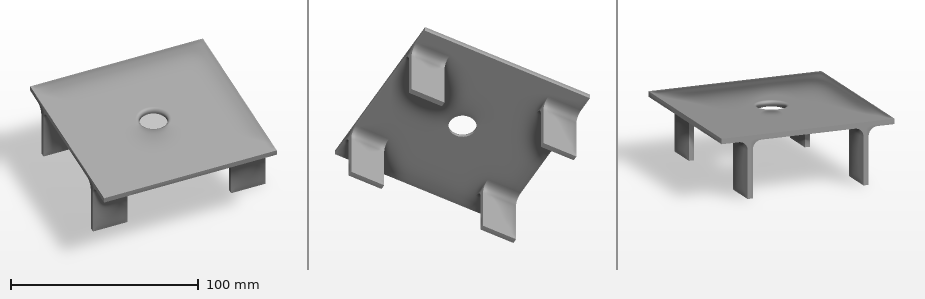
import cadquery as cq

side = 100.0
plate_thickness = 3.0
total_height = 35.0

leg_thickness = 3.0
leg_width = 20.0
leg_inset = 15.0
leg_fillet = 5.0

hole_diameter = 15.0
rim_radius = 2.0

plate_bottom = total_height - plate_thickness
leg_center_x = side / 2 - leg_inset - leg_thickness / 2


def make_plate():
    plate = cq.Workplane("XY").workplane(offset=plate_bottom).rect(side, side).extrude(plate_thickness)
    plate = plate.faces(">Z").workplane().hole(hole_diameter)
    return plate.faces(">Z").edges("%CIRCLE").fillet(rim_radius)


def make_leg(center_x, center_y):
    """Straight leg that flares into the plate with a concave arc on each side."""
    half = leg_thickness / 2
    flare_start = plate_bottom - leg_fillet
    flare_half = half + leg_fillet
    return (
        cq.Workplane("XZ", origin=(center_x, center_y + leg_width / 2, 0))
        .moveTo(-half, 0)
        .lineTo(half, 0)
        .lineTo(half, flare_start)
        .radiusArc((flare_half, plate_bottom), leg_fillet)
        .lineTo(flare_half, total_height)
        .lineTo(-flare_half, total_height)
        .lineTo(-flare_half, plate_bottom)
        .radiusArc((-half, flare_start), leg_fillet)
        .close()
        .extrude(leg_width)
    )


result = make_plate()
leg_center_y = (side - leg_width) / 2
for x_side in (-1, 1):
    for y_side in (-1, 1):
        result = result.union(make_leg(x_side * leg_center_x, y_side * leg_center_y))